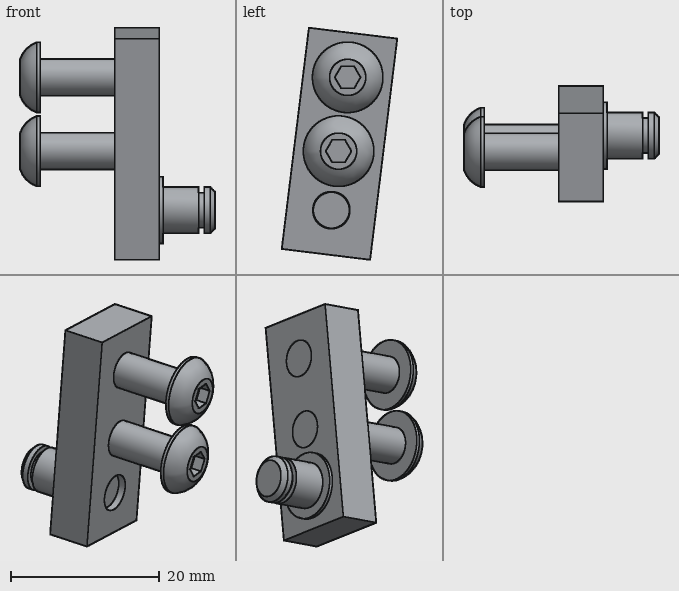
import cadquery as cq
import math

plate_thickness = 6.0
plate_width = 12.0
plate_length = 30.0
plate_tilt = 7.0

screw_positions = (9.0, -1.0)
pin_position = -9.0

shank_diameter = 5.0
shank_exposed = 10.0
head_diameter = 9.5
head_height = 2.75
head_rim = 0.47
head_flat_diameter = 4.87
dome_bulge = 0.37
socket_flats = 3.0
socket_depth = 1.55

hole_diameter = 5.0
stem_diameter = 4.85
stem_recess = 1.0
collar_diameter = 9.0
collar_thickness = 0.5
pin_diameter = 6.25
groove_diameter = 4.75
groove_start = 5.28
groove_width = 0.75
pin_reach = 7.5
tip_chamfer = 0.65

head_base_x = -shank_exposed
head_top_x = head_base_x - head_height


def place_on_plate(body, position):
    """Move a body from the X axis to a point on the leaning centreline."""
    tilt = math.radians(plate_tilt)
    return body.translate((0, -position * math.sin(tilt), position * math.cos(tilt)))


def x_cylinder(diameter, start, length):
    return cq.Workplane("YZ").workplane(offset=start).circle(diameter / 2).extrude(length)


def make_plate():
    plate = cq.Workplane("XY").box(
        plate_thickness, plate_width, plate_length, centered=(False, True, True)
    )
    plate = plate.rotate((0, 0, 0), (1, 0, 0), plate_tilt)
    for position in screw_positions:
        plate = plate.cut(place_on_plate(x_cylinder(shank_diameter, 0, plate_thickness), position))
    return plate.cut(place_on_plate(x_cylinder(hole_diameter, 0, plate_thickness), pin_position))


def make_screw():
    rim_x = head_base_x - head_rim
    rim_radius = head_diameter / 2
    flat_radius = head_flat_diameter / 2
    chord_x = rim_x - head_top_x
    chord_r = rim_radius - flat_radius
    chord = math.hypot(chord_x, chord_r)
    dome_middle = (
        (head_top_x + rim_x) / 2 - dome_bulge * chord_r / chord,
        (flat_radius + rim_radius) / 2 + dome_bulge * chord_x / chord,
    )
    screw = (
        cq.Workplane("XY")
        .moveTo(head_top_x, 0)
        .lineTo(head_top_x, flat_radius)
        .threePointArc(dome_middle, (rim_x, rim_radius))
        .lineTo(head_base_x, rim_radius)
        .lineTo(head_base_x, shank_diameter / 2)
        .lineTo(plate_thickness, shank_diameter / 2)
        .lineTo(plate_thickness, 0)
        .close()
        .revolve(360, (0, 0, 0), (1, 0, 0))
    )
    socket = (
        cq.Workplane("YZ")
        .workplane(offset=head_top_x)
        .polygon(6, socket_flats / math.cos(math.pi / 6))
        .extrude(socket_depth)
    )
    return screw.cut(socket)


def make_pin():
    stem = x_cylinder(stem_diameter, stem_recess, plate_thickness - stem_recess)
    collar = x_cylinder(collar_diameter, plate_thickness, collar_thickness)
    barrel = x_cylinder(pin_diameter, plate_thickness, pin_reach).faces(">X").chamfer(tip_chamfer)
    groove_x = plate_thickness + groove_start
    groove = x_cylinder(pin_diameter, groove_x, groove_width).cut(
        x_cylinder(groove_diameter, groove_x, groove_width)
    )
    return stem.union(collar).union(barrel).cut(groove)


plate = make_plate()
pin = place_on_plate(make_pin(), pin_position)
screws = [place_on_plate(make_screw(), position) for position in screw_positions]

result = cq.Compound.makeCompound([plate.val(), pin.val(), *[screw.val() for screw in screws]])